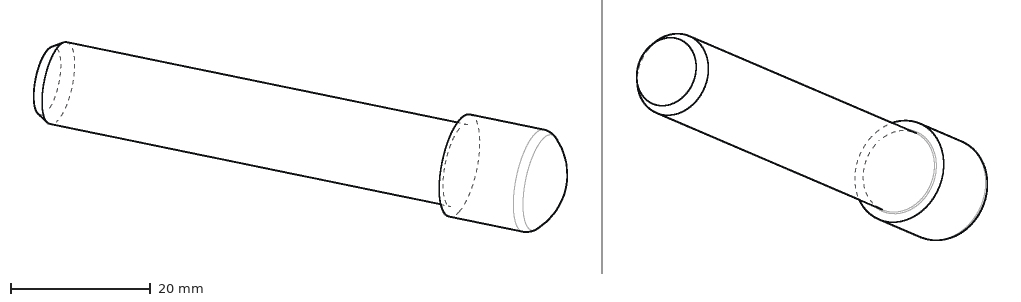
import cadquery as cq
import math

total_length = 80.0
shank_length = 64.0
shank_radius = 12.0 / 2
head_diameter = 15.0
head_radius = head_diameter / 2
tip_radius = 10.0 / 2
chamfer_angle = math.radians(30)
neck_fillet = 0.2
dome_radius = 9.2
shoulder_radius = 2.0

chamfer_length = (shank_radius - tip_radius) / math.tan(chamfer_angle)

dome_center_x = total_length - dome_radius
shoulder_center_r = head_radius - shoulder_radius
center_distance = dome_radius - shoulder_radius
shoulder_angle = math.asin(shoulder_center_r / center_distance)
shoulder_center_x = dome_center_x + center_distance * math.cos(shoulder_angle)


def dome_point(angle):
    """Point on the dome arc at an angle from the pin axis."""
    return (dome_center_x + dome_radius * math.cos(angle), dome_radius * math.sin(angle))


def shoulder_point(angle):
    """Point on the shoulder arc at an angle from the pin axis."""
    return (
        shoulder_center_x + shoulder_radius * math.cos(angle),
        shoulder_center_r + shoulder_radius * math.sin(angle),
    )


profile = (
    cq.Workplane("XY")
    .lineTo(0, tip_radius)
    .lineTo(chamfer_length, shank_radius)
    .lineTo(shank_length - neck_fillet, shank_radius)
    .radiusArc((shank_length, shank_radius + neck_fillet), -neck_fillet)
    .lineTo(shank_length, head_radius)
    .lineTo(shoulder_center_x, head_radius)
    .threePointArc(shoulder_point((math.pi / 2 + shoulder_angle) / 2), dome_point(shoulder_angle))
    .threePointArc(dome_point(shoulder_angle / 2), (total_length, 0))
    .close()
)

result = profile.revolve(360, (0, 0, 0), (1, 0, 0))